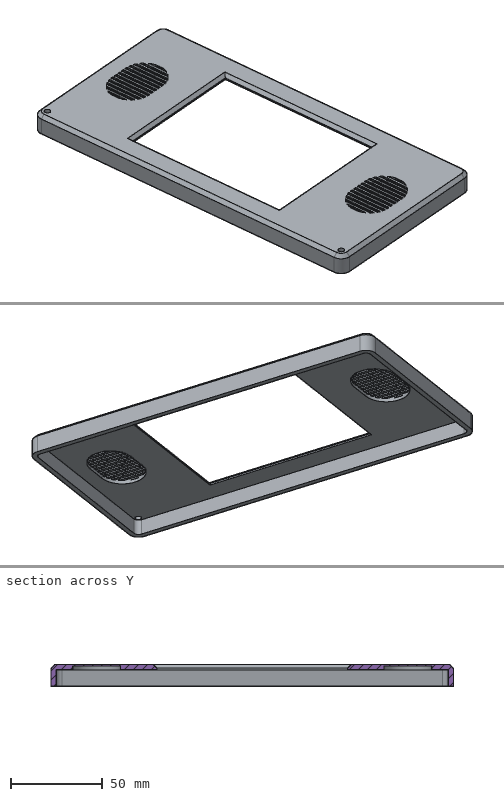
import cadquery as cq

length = 220.0
width = 110.0
height = 12.0
corner_radius = 6.0
edge_chamfer = 2.15

panel_thickness = 3.0
rim_thickness = 3.0

window_length = 104.0
window_width = 79.0
window_bevel = 2.0

grille_offset_x = 85.0
grille_center_y = 4.0
grille_length = 38.0
grille_width = 26.0
grille_angle = 90.0
slot_count = 13
slot_pitch = 3.0
slot_width = 1.5
grille_thickness = 1.0

hole_diameter = 3.5
hole_edge_distance = 5.6

panel_bottom = height - panel_thickness


def make_shell():
    """Rounded tray with a chamfered top edge and an open underside."""
    outer = (
        cq.Workplane("XY")
        .rect(length, width)
        .extrude(height)
        .edges("|Z")
        .fillet(corner_radius)
        .faces(">Z")
        .chamfer(edge_chamfer)
    )
    cavity = (
        cq.Workplane("XY")
        .rect(length - 2 * rim_thickness, width - 2 * rim_thickness)
        .extrude(panel_bottom)
        .edges("|Z")
        .fillet(corner_radius - rim_thickness)
    )
    return outer.cut(cavity)


def make_window():
    """Rectangular opening that flares outward at the top face."""
    opening = (
        cq.Workplane("XY")
        .workplane(offset=panel_bottom)
        .rect(window_length, window_width)
        .extrude(panel_thickness)
    )
    flare = (
        cq.Workplane("XY")
        .workplane(offset=height)
        .rect(window_length + 2 * window_bevel, window_width + 2 * window_bevel)
        .workplane(offset=-window_bevel)
        .rect(window_length, window_width)
        .loft(ruled=True)
    )
    return opening.union(flare)


def make_grille(center_x):
    """Evenly spaced slots trimmed to an upright stadium, with the panel thinned behind them."""
    base = cq.Workplane("XY", origin=(center_x, grille_center_y, panel_bottom))
    recess = base.slot2D(grille_length, grille_width, grille_angle).extrude(panel_thickness - grille_thickness)
    outline = base.slot2D(grille_length, grille_width, grille_angle).extrude(panel_thickness)
    slots = (
        base.rarray(1, slot_pitch, 1, slot_count)
        .rect(grille_width, slot_width)
        .extrude(panel_thickness)
    )
    return slots.intersect(outline).union(recess)


def make_screw_holes():
    """One through hole near each front corner."""
    hole_x = length / 2 - hole_edge_distance
    hole_y = -width / 2 + hole_edge_distance
    return (
        cq.Workplane("XY")
        .pushPoints([(-hole_x, hole_y), (hole_x, hole_y)])
        .circle(hole_diameter / 2)
        .extrude(height)
    )


result = make_shell().cut(make_window()).cut(make_screw_holes())
for side in (-1, 1):
    result = result.cut(make_grille(side * grille_offset_x))